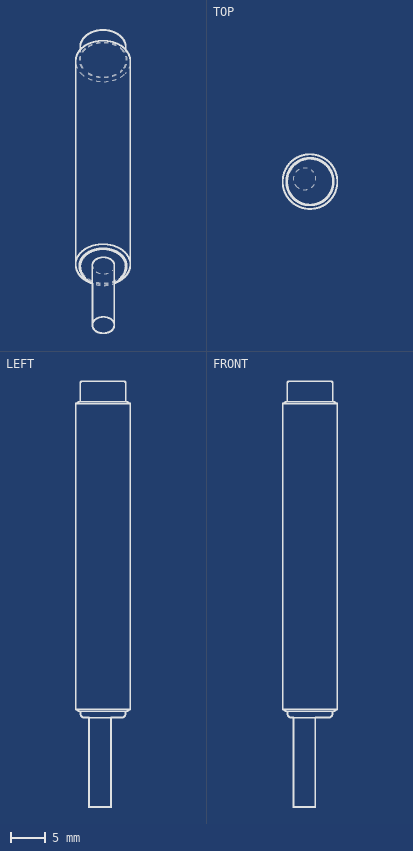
import cadquery as cq
import math

TOTAL_LENGTH = 62.0
HEAD_LENGTH = 3.0
CABLE_LENGTH = 13.0
PLUG_LENGTH = 0.9

HOUSING_RADIUS = 4.0
RIM_RADIUS = 3.5
RIM_HEIGHT = 0.3

HEAD_RADIUS = 3.35
HEAD_ROUNDING = 0.3

PLUG_RADIUS = 3.3
PLUG_ROUNDING = 0.55

CABLE_RADIUS = 1.6
CABLE_OFFSET = 0.9
CABLE_ANGLE = 152.0

head_top = TOTAL_LENGTH / 2
housing_top = head_top - HEAD_LENGTH
cable_bottom = -TOTAL_LENGTH / 2
plug_bottom = cable_bottom + CABLE_LENGTH
housing_bottom = plug_bottom + PLUG_LENGTH


def cylinder(radius, bottom, top):
    """Solid cylinder on the Z axis between two heights."""
    return cq.Workplane("XY").workplane(offset=bottom).circle(radius).extrude(top - bottom)


def make_housing():
    """Long barrel with a shallow conical rim at both ends."""
    rim_width = HOUSING_RADIUS - RIM_RADIUS
    barrel = cylinder(HOUSING_RADIUS, housing_bottom, housing_top)
    return barrel.faces("<Z or >Z").chamfer(RIM_HEIGHT, rim_width)


def make_head():
    """Sensing head on top of the housing, rounded at its free end."""
    return cylinder(HEAD_RADIUS, housing_top, head_top).faces(">Z").fillet(HEAD_ROUNDING)


def make_plug():
    """End plug below the housing, rounded at its free end."""
    return cylinder(PLUG_RADIUS, plug_bottom, housing_bottom).faces("<Z").fillet(PLUG_ROUNDING)


def make_cable():
    """Cable leaving the end plug off-centre."""
    angle = math.radians(CABLE_ANGLE)
    offset = (CABLE_OFFSET * math.cos(angle), CABLE_OFFSET * math.sin(angle), 0)
    return cylinder(CABLE_RADIUS, cable_bottom, plug_bottom).translate(offset)


housing = make_housing()
head = make_head()
plug = make_plug()
cable = make_cable()

result = cq.Compound.makeCompound([housing.val(), head.val(), plug.val(), cable.val()])